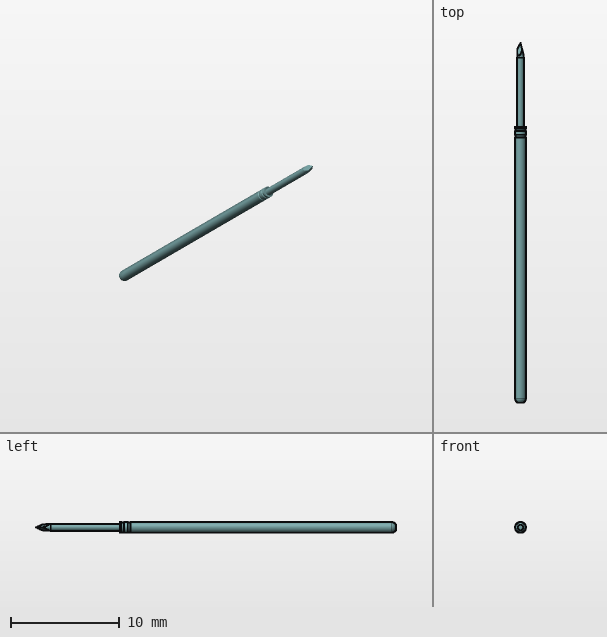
import cadquery as cq
import math

total_length = 33.1
body_radius = 0.51
body_length = 24.4
dome_length = 0.445

groove_width = 0.25
groove_bottom_radius = 0.44
groove_steep_run = 0.05
wide_ring_width = 0.35
thin_ring_width = 0.15

shaft_radius = 0.335
tip_radius = 0.32
tip_length = 1.35
facet_length = 1.18
facet_count = 3


def turned_body():
    """Revolve the stepped half outline, drawn as (Y, radius), about the Y axis."""
    end_flat_radius = math.sqrt(body_radius**2 - dome_length**2)
    arc_mid_angle = math.asin(dome_length / body_radius) / 2
    arc_mid = (
        dome_length - body_radius * math.sin(arc_mid_angle),
        body_radius * math.cos(arc_mid_angle),
    )
    wide_ring_start = body_length + groove_width
    wide_ring_end = wide_ring_start + wide_ring_width
    thin_ring_start = wide_ring_end + groove_width
    thin_ring_end = thin_ring_start + thin_ring_width
    shoulder = total_length - tip_length
    return (
        cq.Workplane("YZ")
        .moveTo(0, 0)
        .lineTo(0, end_flat_radius)
        .threePointArc(arc_mid, (dome_length, body_radius))
        .lineTo(body_length, body_radius)
        .lineTo(body_length + groove_steep_run, groove_bottom_radius)
        .lineTo(wide_ring_start, body_radius)
        .lineTo(wide_ring_end, body_radius)
        .lineTo(wide_ring_end + groove_steep_run, groove_bottom_radius)
        .lineTo(thin_ring_start, body_radius)
        .lineTo(thin_ring_end, body_radius)
        .lineTo(thin_ring_end, shaft_radius)
        .lineTo(shoulder, shaft_radius)
        .lineTo(shoulder, tip_radius)
        .lineTo(total_length, tip_radius)
        .lineTo(total_length, 0)
        .close()
        .revolve(360, (0, 0), (1, 0))
    )


def facet_cutter(index):
    """Wedge outside one flat of the point; the first flat faces +X."""
    oversize = 2
    reach = oversize * tip_radius
    wedge = (
        cq.Workplane("XY")
        .moveTo(0, total_length)
        .lineTo(reach, total_length - oversize * facet_length)
        .lineTo(reach, total_length)
        .close()
        .extrude(reach, both=True)
    )
    return wedge.rotate((0, 0, 0), (0, 1, 0), index * 360 / facet_count)


result = turned_body()
for facet in range(facet_count):
    result = result.cut(facet_cutter(facet))